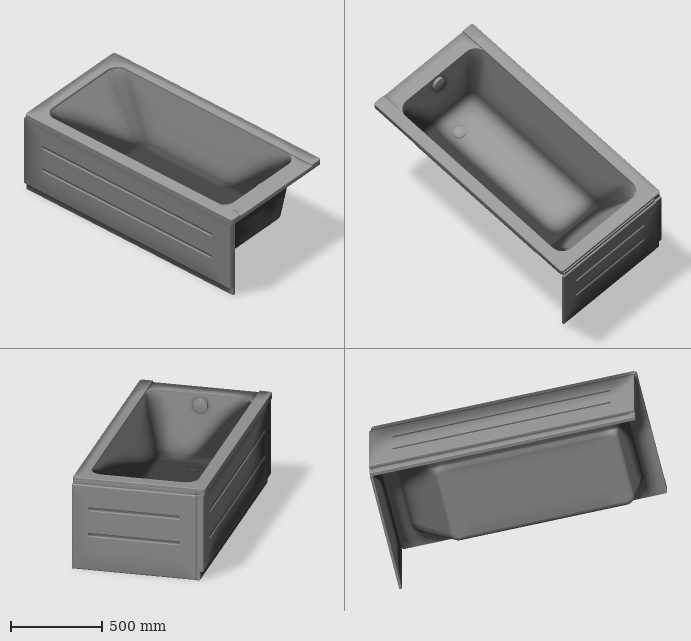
import cadquery as cq
import math

LENGTH = 1515.0
WIDTH = 750.0
HEIGHT = 536.0

RIM_START_X = 15.0
RIM_DEPTH = 36.0
RIM_CORNER_RADIUS = 15.0
RIM_EDGE_RADIUS = 5.0
RIM_BOTTOM_Z = HEIGHT - RIM_DEPTH
DECK_DROP = 9.0

BASIN_DEPTH = 390.0
BASIN_FLOOR_Z = HEIGHT - BASIN_DEPTH
MOUTH_X = (94.0, 1406.0)
MOUTH_WIDTH = 603.0
MOUTH_RADIUS = 73.0
DECK_LIP_DEPTH = 5.0
MOUTH_LIP_DEPTH = DECK_DROP + DECK_LIP_DEPTH
FLOOR_X = (353.0, 1357.0)
FLOOR_WIDTH = 447.0
FLOOR_RADIUS = 38.0
FLOOR_FILLET = 30.0
SHELL_THICKNESS = 8.0

END_PANEL_THICKNESS = RIM_START_X
END_PANEL_EDGE_RADIUS = 8.0
TONGUE_SETBACK = 9.0
TONGUE_HEIGHT = 20.0
FRONT_PANEL_X = (3.0, 1500.0)
FRONT_PANEL_THICKNESS = 41.0
FRONT_PANEL_EDGE_RADIUS = 5.0
FRONT_PANEL_INSET = 5.0
FRONT_PANEL_Y = -WIDTH / 2 + FRONT_PANEL_INSET
TOE_KICK_HEIGHT = 53.0
TOE_KICK_SETBACK = 20.0
JOINT_Y = FRONT_PANEL_Y + FRONT_PANEL_THICKNESS

GROOVE_WIDTH = 20.0
GROOVE_DEPTH = 10.0
GROOVE_BOTTOM_RADIUS = 6.0
GROOVE_EDGE_RADIUS = 3.0
GROOVE_HEIGHTS = (209.0, 360.0)
FRONT_GROOVE_LENGTH = 1230.0
FRONT_GROOVE_MIDDLE_X = 753.0
END_GROOVE_LENGTH = 520.0
END_GROOVE_MIDDLE_Y = 23.0

DRAIN_X = 1225.0
DRAIN_RING_DIAMETER = 70.0
DRAIN_RING_HEIGHT = 5.0
DRAIN_CAP_DIAMETER = 60.0
DRAIN_CAP_DOME = 6.0
OVERFLOW_Z = 468.0
OVERFLOW_DIAMETER = 79.0
OVERFLOW_RIM_HEIGHT = 18.0
OVERFLOW_DOME = 5.0
OVERFLOW_BUTTON_DIAMETER = 25.0


def box(x_range, y_range, z_range):
    """Axis-aligned box between the given limits."""
    size = [high - low for low, high in (x_range, y_range, z_range)]
    return cq.Workplane("XY").box(*size, centered=False).translate((x_range[0], y_range[0], z_range[0]))


def around(x_range, y_range, z_range):
    """Selector for objects whose centre lies between the given limits, with a small margin."""
    low, high = zip(x_range, y_range, z_range)
    margin = 2.0
    return cq.selectors.BoxSelector([v - margin for v in low], [v + margin for v in high])


def rounded_outline(x_range, width, radius, z):
    """Closed wire of a rounded rectangle centred on Y = 0."""
    middle = ((x_range[0] + x_range[1]) / 2, 0, z)
    outline = cq.Workplane("XY", origin=middle).rect(x_range[1] - x_range[0], width).wires().val()
    return outline.fillet2D(radius, outline.Vertices())


def basin_solid(growth, floor_z, floor_fillet):
    """Tapered basin block with an upright lip and a rounded floor edge, enlarged all round by growth."""
    lip_z = HEIGHT - MOUTH_LIP_DEPTH
    mouth = rounded_outline((MOUTH_X[0] - growth, MOUTH_X[1] + growth),
                            MOUTH_WIDTH + 2 * growth, MOUTH_RADIUS + growth, lip_z)
    floor = rounded_outline((FLOOR_X[0] - growth, FLOOR_X[1] + growth),
                            FLOOR_WIDTH + 2 * growth, FLOOR_RADIUS + growth, floor_z)
    block = cq.Workplane(cq.Solid.makeLoft([mouth, floor], True))
    block = block.faces("<Z").edges().fillet(floor_fillet)
    lip = cq.Workplane(cq.Solid.extrudeLinear(mouth, [], cq.Vector(0, 0, MOUTH_LIP_DEPTH)))
    return block.union(lip)


def make_tub():
    rim = box((RIM_START_X, LENGTH), (-WIDTH / 2, WIDTH / 2), (RIM_BOTTOM_Z, HEIGHT))
    rim = rim.edges("|Z").fillet(RIM_CORNER_RADIUS)
    half = MOUTH_WIDTH / 2
    deck_z = HEIGHT - DECK_DROP
    deck_step = box((MOUTH_X[1] - MOUTH_RADIUS, LENGTH), (-half, half), (deck_z, HEIGHT))
    outside = basin_solid(SHELL_THICKNESS, BASIN_FLOOR_Z - SHELL_THICKNESS, FLOOR_FILLET)
    inside = basin_solid(0, BASIN_FLOOR_Z, FLOOR_FILLET)
    tub = rim.union(outside).cut(deck_step).cut(inside)
    top_edges = tub.faces(">Z").edges()
    deck_end_edge = tub.edges(around((LENGTH, LENGTH), (0, 0), (deck_z, deck_z)))
    return top_edges.add(deck_end_edge).fillet(RIM_EDGE_RADIUS)


def cut_grooves(panel, face, middle, length):
    """Cut the pair of round-bottomed grooves into the named face and ease their edges.

    middle is the X, Y position of the middle of the grooves on that face.
    """
    outward = panel.faces(face).val().normalAt()
    along = cq.Vector(0, 0, 1).cross(outward)
    for z in GROOVE_HEIGHTS:
        plane = cq.Plane((*middle, z), along, outward)
        groove = cq.Workplane(plane).slot2D(length, GROOVE_WIDTH).extrude(-GROOVE_DEPTH)
        bottom = cq.selectors.DirectionMinMaxSelector(plane.zDir, False)
        panel = panel.cut(groove.edges(bottom).fillet(GROOVE_BOTTOM_RADIUS))
    edges = [edge for wire in panel.faces(face).val().innerWires() for edge in wire.Edges()]
    return panel.newObject(edges).fillet(GROOVE_EDGE_RADIUS)


def make_front_panel():
    front, back = FRONT_PANEL_Y, JOINT_Y
    kick_y = front + TOE_KICK_SETBACK
    panel = box(FRONT_PANEL_X, (front, back), (0, RIM_BOTTOM_Z))
    panel = panel.cut(box(FRONT_PANEL_X, (front, kick_y), (0, TOE_KICK_HEIGHT)))
    panel = panel.faces("<Y").edges().fillet(FRONT_PANEL_EDGE_RADIUS)
    kick_edges = panel.edges(around(FRONT_PANEL_X, (kick_y, kick_y), (0, TOE_KICK_HEIGHT / 2)))
    panel = kick_edges.fillet(FRONT_PANEL_EDGE_RADIUS)
    return cut_grooves(panel, "<Y", (FRONT_GROOVE_MIDDLE_X, front), FRONT_GROOVE_LENGTH)


def make_end_panel():
    y_range = (JOINT_Y, WIDTH / 2)
    panel = box((0, END_PANEL_THICKNESS), y_range, (0, RIM_BOTTOM_Z))
    panel = panel.faces("<X").edges().fillet(END_PANEL_EDGE_RADIUS)
    tongue_y = (y_range[0] + END_PANEL_EDGE_RADIUS, y_range[1] - END_PANEL_EDGE_RADIUS)
    tongue = box((TONGUE_SETBACK, END_PANEL_THICKNESS), tongue_y,
                 (RIM_BOTTOM_Z, RIM_BOTTOM_Z + TONGUE_HEIGHT))
    panel = panel.union(tongue)
    return cut_grooves(panel, "<X", (0, END_GROOVE_MIDDLE_Y), END_GROOVE_LENGTH)


def domed_cap(diameter, rim_height, dome_height):
    """Round cap standing on Z = 0 with a shallow spherical top."""
    radius = diameter / 2
    sphere_radius = (radius**2 + dome_height**2) / (2 * dome_height)
    half_angle = math.asin(radius / sphere_radius) / 2
    top_z = rim_height + dome_height
    mid_point = (sphere_radius * math.sin(half_angle),
                 top_z - sphere_radius * (1 - math.cos(half_angle)))
    profile = cq.Workplane("XZ").lineTo(radius, 0).lineTo(radius, rim_height)
    profile = profile.threePointArc(mid_point, (0, top_z)).close()
    return profile.revolve(360, (0, 0, 0), (0, 1, 0))


def make_drain_ring():
    ring = cq.Workplane("XY").circle(DRAIN_RING_DIAMETER / 2).circle(DRAIN_CAP_DIAMETER / 2)
    return ring.extrude(DRAIN_RING_HEIGHT).translate((DRAIN_X, 0, BASIN_FLOOR_Z))


def make_drain_cap():
    cap = domed_cap(DRAIN_CAP_DIAMETER, DRAIN_RING_HEIGHT, DRAIN_CAP_DOME)
    return cap.translate((DRAIN_X, 0, BASIN_FLOOR_Z))


def seat_on_drain_end_wall(body):
    """Lay a body that stands on Z = 0 flat against the sloping drain-end wall."""
    wall_run = MOUTH_X[1] - FLOOR_X[1]
    wall_drop = BASIN_DEPTH - MOUTH_LIP_DEPTH
    wall_lean = math.degrees(math.atan2(wall_run, wall_drop))
    wall_x = MOUTH_X[1] - wall_run * (HEIGHT - MOUTH_LIP_DEPTH - OVERFLOW_Z) / wall_drop
    return body.rotate((0, 0, 0), (0, 1, 0), wall_lean - 90).translate((wall_x, 0, OVERFLOW_Z))


def button_core():
    """Cylinder on Z = 0 that separates the overflow button from its cover."""
    core = cq.Workplane("XY").circle(OVERFLOW_BUTTON_DIAMETER / 2)
    return core.extrude(OVERFLOW_RIM_HEIGHT + OVERFLOW_DOME)


def make_overflow_cover():
    cover = domed_cap(OVERFLOW_DIAMETER, OVERFLOW_RIM_HEIGHT, OVERFLOW_DOME)
    return seat_on_drain_end_wall(cover.cut(button_core()))


def make_overflow_button():
    dome = domed_cap(OVERFLOW_DIAMETER, OVERFLOW_RIM_HEIGHT, OVERFLOW_DOME)
    return seat_on_drain_end_wall(dome.intersect(button_core()))


tub = make_tub()
front_panel = make_front_panel()
end_panel = make_end_panel()
drain_ring = make_drain_ring()
drain_cap = make_drain_cap()
overflow_cover = make_overflow_cover()
overflow_button = make_overflow_button()

result = cq.Compound.makeCompound([
    tub.val(),
    front_panel.val(),
    end_panel.val(),
    drain_ring.val(),
    drain_cap.val(),
    overflow_cover.val(),
    overflow_button.val(),
])